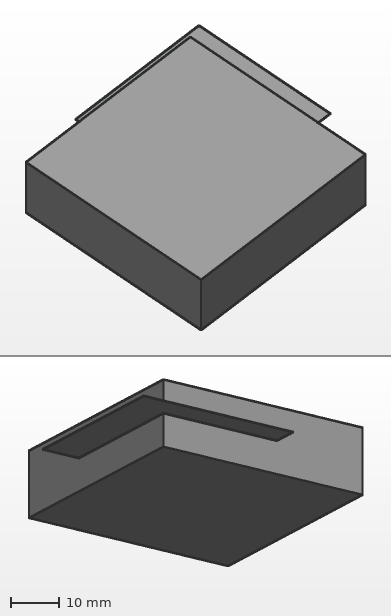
import cadquery as cq

block_side = 50.0
block_height = 15.0

plate_side = 37.45
plate_thickness = 0.1
plate_overhang_x = 6.0
plate_overhang_y = 9.0

plate_min_y = block_side + plate_overhang_y - plate_side
plate_min_z = block_height / 2 - plate_thickness

block = cq.Workplane("XY").box(block_side, block_side, block_height, centered=False)
block = block.translate((plate_overhang_x, 0, 0))

plate = cq.Workplane("XY").box(plate_side, plate_side, plate_thickness, centered=False)
plate = plate.translate((0, plate_min_y, plate_min_z))

result = block.union(plate)